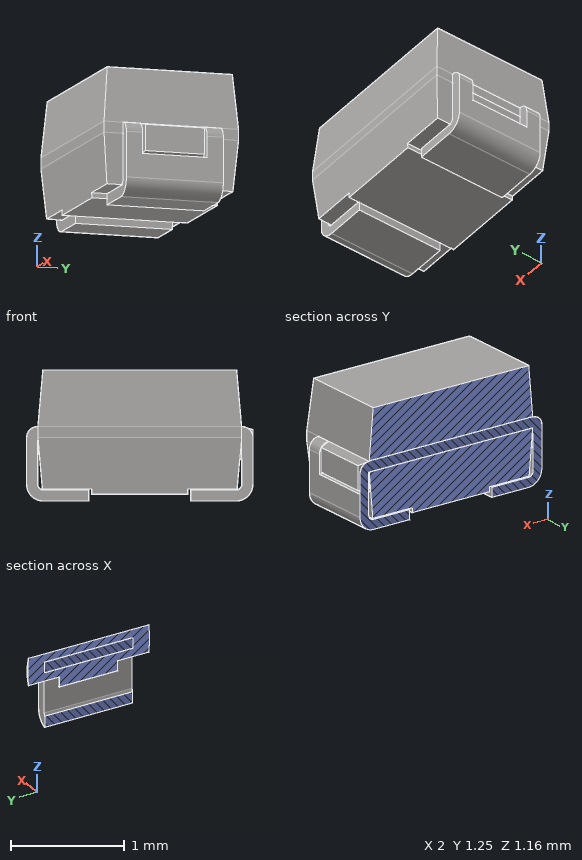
import cadquery as cq
import math

LENGTH = 2.0
BODY_LENGTH = 1.8
BODY_WIDTH = 1.25
BODY_TOP = 1.16
BODY_BOTTOM = 0.105
BODY_DRAFT = 5.0
FOOT_LENGTH = 0.85
FOOT_BOTTOM = 0.06

STRIP = (LENGTH - BODY_LENGTH) / 2
STRIP_WIDTH = 0.9
STRIP_TOP = 0.66
STRIP_UNDERSIDE = STRIP_TOP - STRIP
LOWER_BEND = 0.15
PAD_LENGTH = 0.4

WINDOW_WIDTH = 0.6
WINDOW_BOTTOM = 0.37
LUG_DRAFT = 15.0
LUG_ROOT = 0.04


def box(x_min, x_max, width, z_min, z_max):
    """Box centred on Y = 0."""
    size = (x_max - x_min, width, z_max - z_min)
    return cq.Workplane("XY").box(*size, centered=(False, True, False)).translate((x_min, 0, z_min))


def make_lead_profile():
    """C-shaped XZ section of the lead at the +X end, from mid-length to the pad tip."""
    outer = LENGTH / 2
    inner = outer - STRIP
    bend_x = outer - LOWER_BEND
    pad_tip = bend_x - PAD_LENGTH
    inner_bend = LOWER_BEND - STRIP
    diagonal = math.sqrt(0.5)
    return (
        cq.Workplane("XZ")
        .moveTo(0, STRIP_TOP)
        .lineTo(inner, STRIP_TOP)
        .threePointArc(
            (inner + STRIP * diagonal, STRIP_UNDERSIDE + STRIP * diagonal),
            (outer, STRIP_UNDERSIDE),
        )
        .lineTo(outer, LOWER_BEND)
        .threePointArc(
            (bend_x + LOWER_BEND * diagonal, LOWER_BEND - LOWER_BEND * diagonal),
            (bend_x, 0),
        )
        .lineTo(pad_tip, 0)
        .lineTo(pad_tip, STRIP)
        .lineTo(bend_x, STRIP)
        .threePointArc(
            (bend_x + inner_bend * diagonal, LOWER_BEND - inner_bend * diagonal),
            (inner, LOWER_BEND),
        )
        .lineTo(inner, STRIP_UNDERSIDE)
        .lineTo(0, STRIP_UNDERSIDE)
        .close()
    )


def make_lead_frame():
    half = make_lead_profile().extrude(STRIP_WIDTH / 2, both=True)
    window = box(BODY_LENGTH / 2, LENGTH / 2, WINDOW_WIDTH, WINDOW_BOTTOM, STRIP_TOP)
    half = half.cut(window)
    return half.union(half.mirror("YZ"))


def make_lug():
    """Drafted lug that fills the +X window, with a root joining it to the housing."""
    lug = (
        cq.Workplane("YZ", origin=(BODY_LENGTH / 2, 0, (WINDOW_BOTTOM + STRIP_TOP) / 2))
        .rect(WINDOW_WIDTH, STRIP_TOP - WINDOW_BOTTOM)
        .extrude(STRIP, taper=LUG_DRAFT)
    )
    root = box(BODY_LENGTH / 2 - LUG_ROOT, BODY_LENGTH / 2, WINDOW_WIDTH, WINDOW_BOTTOM, STRIP_UNDERSIDE)
    return lug.union(root)


def drafted_block(z_start, height):
    """Block that starts at the full body outline and narrows upward, or downward if height is negative."""
    return (
        cq.Workplane("XY", origin=(0, 0, z_start))
        .rect(BODY_LENGTH, BODY_WIDTH)
        .extrude(height, taper=BODY_DRAFT)
    )


def make_housing(lead_frame):
    band = box(-BODY_LENGTH / 2, BODY_LENGTH / 2, BODY_WIDTH, STRIP_UNDERSIDE, STRIP_TOP)
    upper = drafted_block(STRIP_TOP, BODY_TOP - STRIP_TOP)
    lower = drafted_block(STRIP_UNDERSIDE, FOOT_BOTTOM - STRIP_UNDERSIDE)
    end_step = box(FOOT_LENGTH / 2, BODY_LENGTH / 2, BODY_WIDTH, FOOT_BOTTOM, BODY_BOTTOM)
    lower = lower.cut(end_step).cut(end_step.mirror("YZ"))
    return band.union(upper).union(lower).union(make_lug()).cut(lead_frame)


lead_frame = make_lead_frame()
housing = make_housing(lead_frame)

result = cq.Compound.makeCompound([housing.solids().val(), lead_frame.solids().val()])